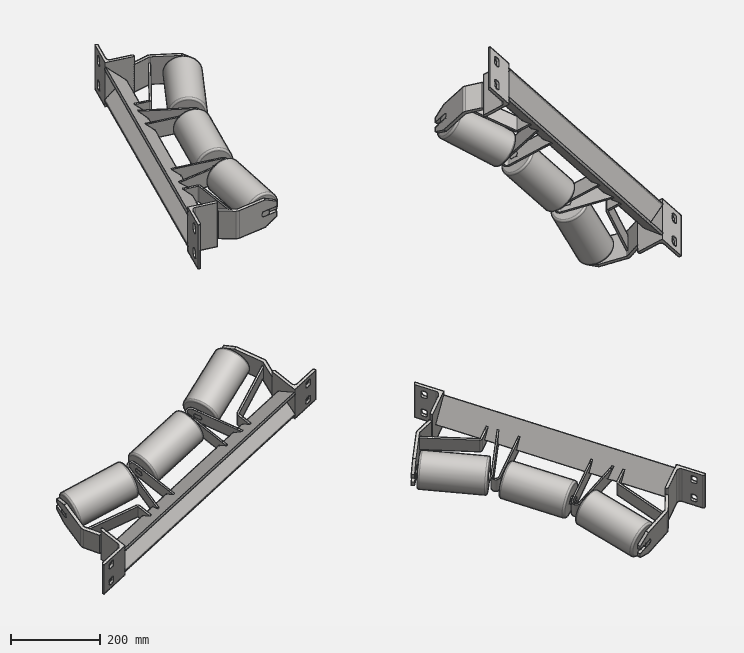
import cadquery as cq
import math

leg_length = 70.0
leg_thickness = 7.0
root_radius = 9.0
toe_radius = 4.0

overall_length = 700.0
bracket_height = 125.0
slot_width = 15.0
slot_length = 25.0
slot_corner_radius = 5.0
slot_edge_distance = 25.0
slot_spacing = 70.0
beam_length = overall_length - 2 * leg_length
beam_apex_y = 51.0

tilt = 15.0
roller_length = 158.0
roller_diameter = 89.0
roller_fillet = 5.0
centre_roller_y = 135.0
side_roller_x = 194.0
side_roller_y = 160.0
shaft_diameter = 20.0
shaft_flat_width = 15.0
plate_gap = 6.0
shoulder_length = 4.0

arm_thickness = 8.0
arm_width = 78.5
arm_bend_y = 111.0
arm_lower_lean = 20.0
arm_bend_radius = 7.0
arm_tip_y = 213.0
arm_corner_length = 31.5
arm_corner_width = 18.0

strip_width = 45.0
brace_thickness = 5.0
brace_foot_x = 164.5
brace_slope = 18.5
brace_top_y = 113.0
brace_bend_radius = 2.0
hanger_thickness = 4.0
hanger_arc_y = 149.0

cos_tilt = math.cos(math.radians(tilt))
sin_tilt = math.sin(math.radians(tilt))
half_roller = roller_length / 2
plate_face = half_roller + plate_gap
strip_foot_y = beam_apex_y - strip_width / 2
roller_centre = (-side_roller_x, side_roller_y)

arm_offset = plate_face + arm_thickness / 2
arm_axis_x = -side_roller_x - arm_offset * cos_tilt
arm_axis_y = side_roller_y + arm_offset * sin_tilt
arm_bend_x = arm_axis_x - (arm_axis_y - arm_bend_y) * sin_tilt / cos_tilt
arm_tip_x = arm_axis_x + (arm_tip_y - arm_axis_y) * sin_tilt / cos_tilt

hanger_offset = plate_face + hanger_thickness / 2
hanger_leg_x = -hanger_offset
hanger_radius = (
    (hanger_leg_x + side_roller_x) * cos_tilt - (hanger_arc_y - side_roller_y) * sin_tilt - hanger_offset
) / (1 + cos_tilt)
hanger_arc_x = hanger_leg_x - hanger_radius


def angle_profile(workplane):
    """Angle section with its outer corner at the origin and legs along +x and +y."""
    root = leg_thickness + root_radius
    diagonal = math.sqrt(0.5)
    toe_start = leg_length - toe_radius
    toe_inner = leg_thickness - toe_radius
    toe_mid = toe_start + toe_radius * diagonal
    toe_side = toe_inner + toe_radius * diagonal
    root_mid = root - root_radius * diagonal
    return (
        workplane.moveTo(0, 0)
        .lineTo(leg_length, 0)
        .lineTo(leg_length, toe_inner)
        .threePointArc((toe_mid, toe_side), (toe_start, leg_thickness))
        .lineTo(root, leg_thickness)
        .threePointArc((root_mid, root_mid), (leg_thickness, root))
        .lineTo(leg_thickness, toe_start)
        .threePointArc((toe_side, toe_mid), (toe_inner, leg_length))
        .lineTo(0, leg_length)
        .close()
    )


def strip(centreline, thickness, width):
    """Flat strip of constant thickness with mitred bends, centred on Z = 0."""
    def unit(start, end):
        length = math.dist(start, end)
        return ((end[0] - start[0]) / length, (end[1] - start[1]) / length)

    directions = [unit(start, end) for start, end in zip(centreline, centreline[1:])]
    before = [directions[0]] + directions
    after = directions + [directions[-1]]
    left = []
    right = []
    for (x, y), first, second in zip(centreline, before, after):
        normal_x = -first[1] - second[1]
        normal_y = first[0] + second[0]
        scale = thickness / 2 / (1 + first[0] * second[0] + first[1] * second[1])
        left.append((x + normal_x * scale, y + normal_y * scale))
        right.append((x - normal_x * scale, y - normal_y * scale))
    return cq.Workplane("XY").polyline(left + right[::-1]).close().extrude(width / 2, both=True)


def round_bend(body, bend, thickness, inner_radius, inner_side):
    """Round both edges of a bend; inner_side tells which X side its hollow faces."""
    def bend_edges(work):
        low = (bend[0] - thickness, bend[1] - thickness, -bracket_height)
        high = (bend[0] + thickness, bend[1] + thickness, bracket_height)
        return work.edges("|Z").edges(cq.selectors.BoxSelector(low, high))

    outer_side = "<X" if inner_side == ">X" else ">X"
    outer_edge = bend_edges(body).edges(outer_side)
    body = outer_edge.fillet(inner_radius + thickness)
    inner_edge = bend_edges(body).edges(inner_side)
    return inner_edge.fillet(inner_radius)


def mirrored(body):
    return body.mirror("YZ")


def make_beam():
    section = cq.Workplane("YZ", origin=(-beam_length / 2, 0, 0))
    beam = angle_profile(section).extrude(beam_length)
    return beam.rotate((0, 0, 0), (1, 0, 0), 135).translate((0, beam_apex_y, 0))


def beam_envelope():
    """Solid prism under the outer faces of the beam, used to fit strips onto it."""
    depth = leg_length
    outline = [(beam_apex_y, 0), (beam_apex_y - depth, depth), (beam_apex_y - depth, -depth)]
    return cq.Workplane("YZ").polyline(outline).close().extrude(beam_length / 2, both=True)


def make_bracket():
    corner_x = -overall_length / 2 + leg_length
    profile = angle_profile(cq.Workplane("XY")).extrude(bracket_height / 2, both=True)
    bracket = profile.mirror("YZ").translate((corner_x, 0, 0))
    slot_x = slot_edge_distance - overall_length / 2
    slots = (
        cq.Workplane("XZ")
        .pushPoints([(slot_x, side * slot_spacing / 2) for side in (-1, 1)])
        .rect(slot_width, slot_length)
        .extrude(-leg_thickness)
        .edges("|Y")
        .fillet(slot_corner_radius)
    )
    return bracket.cut(slots)


def place_side(body):
    return body.rotate((0, 0, 0), (0, 0, 1), -tilt).translate((*roller_centre, 0))


def make_shaft(left_plate, right_plate):
    """Round shaft with flats where it passes through the plates at both ends."""
    left = plate_face + left_plate
    right = plate_face + right_plate
    shoulder = half_roller + shoulder_length
    core = cq.Workplane("YZ", origin=(-left, 0, 0)).circle(shaft_diameter / 2).extrude(left + right)
    middle = cq.Workplane("XY").box(2 * shoulder, shaft_diameter, shaft_diameter)
    flats = cq.Workplane("XY").box(2 * max(left, right), shaft_diameter, shaft_flat_width)
    return core.intersect(middle.union(flats))


def make_roller():
    end = cq.Workplane("YZ", origin=(-half_roller, 0, 0))
    roller = end.circle(roller_diameter / 2).extrude(roller_length)
    roller = roller.faces("<X or >X").edges().fillet(roller_fillet)
    return roller.cut(end.circle(shaft_diameter / 2).extrude(roller_length))


def make_arm(shaft):
    foot = (arm_bend_x + arm_bend_y * math.tan(math.radians(arm_lower_lean)), 0)
    bend = (arm_bend_x, arm_bend_y)
    tip = (arm_tip_x, arm_tip_y)
    arm = strip([foot, bend, tip], arm_thickness, arm_width)
    arm = round_bend(arm, bend, arm_thickness, arm_bend_radius, ">X")
    below = cq.Workplane("XY").box(overall_length, 2 * leg_length, bracket_height)
    arm = arm.cut(below)

    tip_plane = cq.Plane(origin=(*tip, 0), xDir=(sin_tilt, cos_tilt, 0), normal=(cos_tilt, -sin_tilt, 0))
    half = arm_width / 2
    for side in (-1, 1):
        corner = [(0, side * half), (-arm_corner_length, side * half), (0, side * (half - arm_corner_width))]
        cutter = cq.Workplane(tip_plane).polyline(corner).close().extrude(arm_thickness, both=True)
        arm = arm.cut(cutter)
    slot_depth = (arm_tip_y - arm_axis_y) / cos_tilt
    slot = (
        cq.Workplane(tip_plane)
        .center(-slot_depth / 2, 0)
        .rect(slot_depth, shaft_flat_width)
        .extrude(arm_thickness, both=True)
    )
    return arm.cut(slot).cut(shaft)


def make_brace(arm):
    run = brace_foot_x + arm_bend_x
    knee_y = brace_top_y + run * math.tan(math.radians(brace_slope))
    knee = (-brace_foot_x, knee_y)
    brace = strip([(-brace_foot_x, strip_foot_y), knee, (arm_bend_x, brace_top_y)], brace_thickness, strip_width)
    brace = round_bend(brace, knee, brace_thickness, brace_bend_radius, "<X")
    return brace.cut(arm).cut(beam_envelope())


def make_hanger(shafts):
    def around(angle, radius):
        turn = math.radians(angle)
        return (hanger_arc_x + radius * math.cos(turn), hanger_arc_y + radius * math.sin(turn))

    def tilted_foot(radius):
        x, y = around(180 - tilt, radius)
        return (x - (y - strip_foot_y) * sin_tilt / cos_tilt, strip_foot_y)

    outer = hanger_radius + hanger_thickness / 2
    inner = hanger_radius - hanger_thickness / 2
    arc_end = 180 - tilt
    hanger = (
        cq.Workplane("XY")
        .moveTo(hanger_arc_x + outer, strip_foot_y)
        .lineTo(*around(0, outer))
        .threePointArc(around(arc_end / 2, outer), around(arc_end, outer))
        .lineTo(*tilted_foot(outer))
        .lineTo(*tilted_foot(inner))
        .lineTo(*around(arc_end, inner))
        .threePointArc(around(arc_end / 2, inner), around(0, inner))
        .lineTo(hanger_arc_x + inner, strip_foot_y)
        .close()
        .extrude(strip_width / 2, both=True)
    )
    for shaft in shafts:
        hanger = hanger.cut(shaft)
    return hanger.cut(beam_envelope())


beam = make_beam()
bracket = make_bracket()
centre_roller = make_roller().translate((0, centre_roller_y, 0))
centre_shaft = make_shaft(hanger_thickness, hanger_thickness).translate((0, centre_roller_y, 0))
side_roller = place_side(make_roller())
side_shaft = place_side(make_shaft(arm_thickness, hanger_thickness))
arm = make_arm(side_shaft)
brace = make_brace(arm)
hanger = make_hanger([centre_shaft, side_shaft])

end_frame = bracket.union(arm).union(brace)
frame = beam.union(end_frame).union(mirrored(end_frame))

bodies = [frame.val(), centre_roller.val(), centre_shaft.val()]
for body in (hanger, side_roller, side_shaft):
    bodies.append(body.val())
    bodies.append(mirrored(body).val())

result = cq.Compound.makeCompound(bodies)